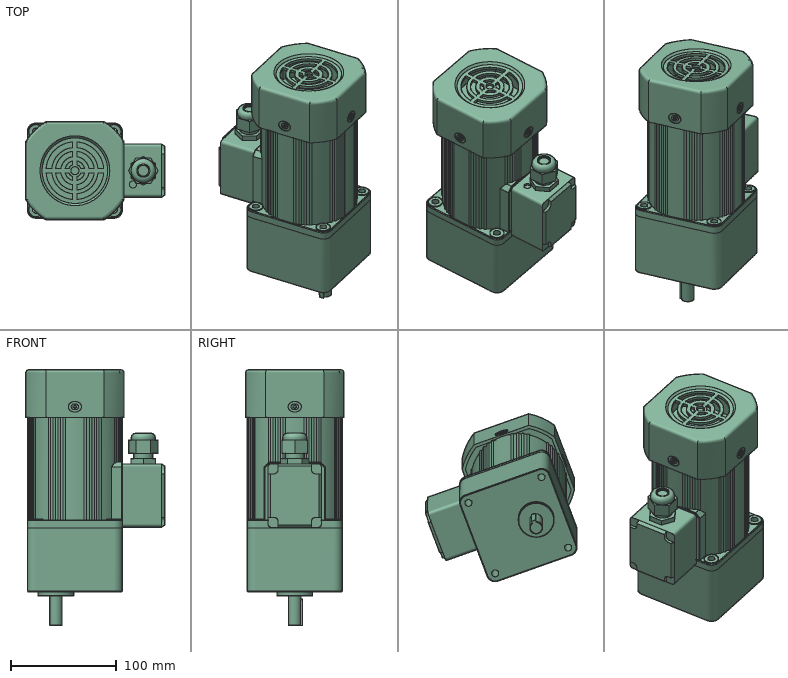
import cadquery as cq
import math

gearbox_height = 60.5
flange_height = 7.5
flange_top = gearbox_height + flange_height
cover_bottom = 165.0
cover_top = 210.0
shaft_end = -32.0

gearbox_side = 90.0
gearbox_corner_radius = 8.0
gearbox_bottom_chamfer = 0.8
mounting_circle_diameter = 104.0
mounting_hole_diameter = 6.6
mounting_pad_diameter = 13.5
mounting_pad_height = 1.0
flange_top_chamfer = 0.8
pilot_boss_diameter = 34.0
pilot_boss_height = 4.0
pilot_boss_chamfer = 0.5

shaft_offset = -18.0
shaft_diameter = 12.0
shaft_socket_depth = 30.0
shaft_chamfer = 0.5
key_width = 4.0
key_length = 25.0
key_rise = 1.5
key_end_radius = 1.9

tube_radius = gearbox_side / 2
rib_sectors = 8
ribs_per_sector = 4
rib_radius = 1.3
rib_height = 0.8
rib_pitch_angle = 6.45

saddle_half_width = 28.9
saddle_top = 122.7
saddle_chamfer = 4.8
saddle_end_chamfer = 0.7

cover_side = 93.0
cover_flat_length = 55.0
cover_corner_radius = 60.0
cover_edge_radius = 3.0
cover_wall = 3.0
grille_thickness = 2.5
grille_recess_diameter = 66.0
grille_floor_diameter = 62.0
grille_recess_depth = 2.0
grille_slot_radii = [(21.9, 27.3), (13.4, 18.4), (6.0, 9.4)]
grille_hub_hole_diameter = 7.6
grille_spoke_width = 4.2
cover_cavity_depth = cover_top - cover_bottom - grille_recess_depth - grille_thickness

end_bell_height = 9.0

screw_height = 175.0
screw_recess_width = 12.5
screw_recess_aspect = 1.25
screw_recess_depth = 0.8
screw_head_width = 7.0
screw_head_height = 0.4
cross_length = 3.2
cross_width = 1.2
cross_depth = 1.6

box_start = gearbox_side / 2
box_end = 85.0
box_width = 50.5
box_bottom = 61.0
box_height = 60.0
box_edge_radius = 3.0
lid_thickness = 3.0
lid_start = box_end - lid_thickness
lid_taper = 2.2
lid_notch = 9.5
lid_notch_radius = 4.2
drain_recess_diameter = 6.8
drain_recess_depth = 2.0
drain_recess_x = 54.9
drain_recess_y = -13.0

gland_x = 64.7
lower_hex_flats = 23.5
lower_hex_height = 5.0
neck_diameter = 18.3
neck_height = 5.0
upper_hex_flats = 24.2
upper_hex_height = 12.5
dome_diameter = 23.0
dome_height = 6.5
dome_radius = 4.5
gland_bore_diameters = [12.4, 10.2]
gland_step_depth = 1.0


def at_height(z):
    return cq.Workplane("XY").workplane(offset=z)


def mounting_points():
    """Centres of the four corner holes shared by gearbox and flange."""
    radius = mounting_circle_diameter / 2
    return [
        (radius * math.cos(math.radians(angle)), radius * math.sin(math.radians(angle)))
        for angle in (45, 135, 225, 315)
    ]


def square_block(z, height):
    block = at_height(z).rect(gearbox_side, gearbox_side).extrude(height)
    return block.edges("|Z").fillet(gearbox_corner_radius)


def make_gearbox():
    body = square_block(0, gearbox_height).faces("<Z").chamfer(gearbox_bottom_chamfer)
    boss = (
        at_height(-pilot_boss_height)
        .center(shaft_offset, 0)
        .circle(pilot_boss_diameter / 2)
        .extrude(pilot_boss_height)
        .faces("<Z")
        .chamfer(pilot_boss_chamfer)
    )
    holes = (
        at_height(0)
        .pushPoints(mounting_points())
        .circle(mounting_hole_diameter / 2)
        .extrude(gearbox_height)
    )
    socket = (
        at_height(-pilot_boss_height)
        .center(shaft_offset, 0)
        .circle(shaft_diameter / 2)
        .extrude(shaft_socket_depth + pilot_boss_height)
    )
    return body.union(boss).cut(holes).cut(socket)


def make_output_shaft():
    """Shaft with the key standing proud on its +Y side."""
    shaft = (
        at_height(shaft_end)
        .center(shaft_offset, 0)
        .circle(shaft_diameter / 2)
        .extrude(shaft_socket_depth - shaft_end)
        .faces("<Z")
        .chamfer(shaft_chamfer)
    )
    key_top = shaft_diameter / 2 + key_rise
    key = (
        at_height(shaft_end)
        .center(shaft_offset, key_top / 2)
        .rect(key_width, key_top)
        .extrude(key_length)
        .edges(">Z and |Y")
        .fillet(key_end_radius)
    )
    return shaft.union(key)


def make_tube():
    """Round tube whose low rounded ribs come in groups, with smooth stretches between them."""
    length = cover_bottom - flange_top
    tube = at_height(flange_top).circle(tube_radius).extrude(length)
    sector_angle = 360 / rib_sectors
    rib_centre = tube_radius + rib_height - rib_radius
    rib = at_height(flange_top).center(rib_centre, 0).circle(rib_radius).extrude(length)
    for sector in range(rib_sectors):
        for number in range(ribs_per_sector):
            offset = (number - (ribs_per_sector - 1) / 2) * rib_pitch_angle
            angle = (sector + 0.5) * sector_angle + offset
            tube = tube.union(rib.rotate((0, 0, 0), (0, 0, 1), angle))
    return tube


def make_saddle():
    """Flat-faced pad filling from the tube out to the terminal box."""
    shoulder = saddle_top - saddle_chamfer
    top_half_width = saddle_half_width - saddle_chamfer
    return (
        cq.Workplane("YZ")
        .moveTo(-saddle_half_width, flange_top)
        .lineTo(saddle_half_width, flange_top)
        .lineTo(saddle_half_width, shoulder)
        .lineTo(top_half_width, saddle_top)
        .lineTo(-top_half_width, saddle_top)
        .lineTo(-saddle_half_width, shoulder)
        .close()
        .extrude(box_start)
        .faces(">X")
        .edges("not <Z")
        .chamfer(saddle_end_chamfer)
    )


def cover_outline(workplane, inset=0):
    """Square with straight sides joined by shallow arcs across the corners, moved in by the inset."""
    half = cover_side / 2
    flat = cover_flat_length / 2
    half_chord = (half - flat) / math.sqrt(2)
    chord_distance = (half + flat) / math.sqrt(2)
    centre = (chord_distance - math.sqrt(cover_corner_radius**2 - half_chord**2)) / math.sqrt(2)
    radius = cover_corner_radius - inset
    half = half - inset
    flat = centre + math.sqrt(radius**2 - (half - centre) ** 2)
    middle = centre + radius / math.sqrt(2)
    return (
        workplane.moveTo(half, -flat)
        .lineTo(half, flat)
        .threePointArc((middle, middle), (flat, half))
        .lineTo(-flat, half)
        .threePointArc((-middle, middle), (-half, flat))
        .lineTo(-half, -flat)
        .threePointArc((-middle, -middle), (-flat, -half))
        .lineTo(flat, -half)
        .threePointArc((middle, -middle), (half, -flat))
        .close()
    )


def make_motor():
    flange = square_block(gearbox_height, flange_height).faces(">Z").chamfer(flange_top_chamfer)
    pad_top = flange_height + mounting_pad_height
    pads = (
        at_height(gearbox_height)
        .pushPoints(mounting_points())
        .circle(mounting_pad_diameter / 2)
        .extrude(pad_top)
    )
    holes = (
        at_height(gearbox_height)
        .pushPoints(mounting_points())
        .circle(mounting_hole_diameter / 2)
        .extrude(pad_top)
    )
    end_bell = cover_outline(at_height(cover_bottom), cover_wall).extrude(end_bell_height)
    motor = flange.union(make_tube()).union(make_saddle()).union(pads)
    return motor.union(end_bell).cut(holes)


def make_grille_cut():
    """Tapered recess with ring slots, broken by a cross of spokes, and a hub hole."""
    recess_floor = cover_top - grille_recess_depth
    recess = (
        at_height(recess_floor)
        .circle(grille_floor_diameter / 2)
        .workplane(offset=grille_recess_depth)
        .circle(grille_recess_diameter / 2)
        .loft()
    )
    slot_floor = recess_floor - grille_thickness
    slots = at_height(slot_floor)
    for inner, outer in grille_slot_radii:
        slots = slots.add(at_height(slot_floor).circle(outer).circle(inner).extrude(grille_thickness))
    slots = slots.combine()
    for angle in (0, 90):
        spoke = (
            at_height(slot_floor)
            .rect(grille_floor_diameter, grille_spoke_width)
            .extrude(grille_thickness)
            .rotate((0, 0, 0), (0, 0, 1), angle)
        )
        slots = slots.cut(spoke)
    hub = at_height(slot_floor).circle(grille_hub_hole_diameter / 2).extrude(grille_thickness)
    return recess.union(slots).union(hub)


def make_screw_recess():
    """Oval recess on the -Y side that leaves a cross-slotted oval screw head standing."""
    plane = cq.Workplane(cq.Plane((0, -cover_side / 2, screw_height), (1, 0, 0), (0, -1, 0)))
    recess = plane.ellipse(screw_recess_width / 2, screw_recess_width / screw_recess_aspect / 2)
    recess = recess.extrude(-screw_recess_depth)
    head = (
        plane.workplane(offset=-screw_recess_depth)
        .ellipse(screw_head_width / 2, screw_head_width / screw_recess_aspect / 2)
        .extrude(screw_head_height)
    )
    cross = plane.rect(cross_length, cross_width).extrude(-cross_depth)
    cross = cross.union(plane.rect(cross_width, cross_length).extrude(-cross_depth))
    return recess.cut(head).union(cross)


def make_fan_cover():
    cover = cover_outline(at_height(cover_bottom)).extrude(cover_top - cover_bottom)
    cover = cover.faces(">Z").edges().fillet(cover_edge_radius)
    cavity = cover_outline(at_height(cover_bottom), cover_wall).extrude(cover_cavity_depth)
    cover = cover.cut(cavity).cut(make_grille_cut())
    for angle in (0, 90, 180, 270):
        cover = cover.cut(make_screw_recess().rotate((0, 0, 0), (0, 0, 1), angle))
    return cover


def across_box(x):
    """Plane square to the X axis, centred on the terminal box."""
    return cq.Workplane("YZ", origin=(x, 0, box_bottom + box_height / 2))


def make_lid():
    """Tapered lid with a rounded notch at each corner."""
    lid = (
        across_box(lid_start)
        .rect(box_width, box_height)
        .workplane(offset=lid_thickness)
        .rect(box_width - 2 * lid_taper, box_height - 2 * lid_taper)
        .loft()
    )
    corners = [(y * box_width / 2, z * box_height / 2) for y in (-1, 1) for z in (-1, 1)]
    notches = (
        across_box(lid_start)
        .pushPoints(corners)
        .rect(2 * lid_notch, 2 * lid_notch)
        .extrude(lid_thickness)
        .edges("|X")
        .fillet(lid_notch_radius)
    )
    return lid.cut(notches)


def make_terminal_box():
    box = (
        across_box(box_start)
        .rect(box_width, box_height)
        .extrude(lid_start - box_start)
        .edges("|X")
        .fillet(box_edge_radius)
    )
    drain_recess = (
        at_height(box_bottom + box_height)
        .center(drain_recess_x, drain_recess_y)
        .circle(drain_recess_diameter / 2)
        .extrude(-drain_recess_depth)
    )
    return box.cut(drain_recess).union(make_lid())


def hexagon(z, across_flats, height, turn):
    corner_diameter = across_flats / math.cos(math.radians(30))
    prism = at_height(z).polygon(6, corner_diameter).extrude(height)
    return prism.rotate((0, 0, 0), (0, 0, 1), turn).translate((gland_x, 0, 0))


def make_cable_gland():
    base = box_bottom + box_height
    neck_bottom = base + lower_hex_height
    upper_hex_bottom = neck_bottom + neck_height
    dome_bottom = upper_hex_bottom + upper_hex_height
    dome_top = dome_bottom + dome_height
    gland = hexagon(base, lower_hex_flats, lower_hex_height, 30)
    neck = at_height(neck_bottom).center(gland_x, 0).circle(neck_diameter / 2).extrude(neck_height)
    nut = hexagon(upper_hex_bottom, upper_hex_flats, upper_hex_height, 0)
    dome = at_height(dome_bottom).center(gland_x, 0).circle(dome_diameter / 2).extrude(dome_height)
    dome = dome.faces(">Z").edges().fillet(dome_radius)
    gland = gland.union(neck).union(nut).union(dome)
    for step, diameter in enumerate(gland_bore_diameters, start=1):
        bore = at_height(dome_top).center(gland_x, 0).circle(diameter / 2).extrude(-step * gland_step_depth)
        gland = gland.cut(bore)
    return gland


gearbox = make_gearbox()
output_shaft = make_output_shaft()
motor = make_motor()
fan_cover = make_fan_cover()
terminal_box = make_terminal_box()
cable_gland = make_cable_gland()

result = cq.Compound.makeCompound(
    [
        gearbox.val(),
        output_shaft.val(),
        motor.val(),
        fan_cover.val(),
        terminal_box.val(),
        cable_gland.val(),
    ]
)